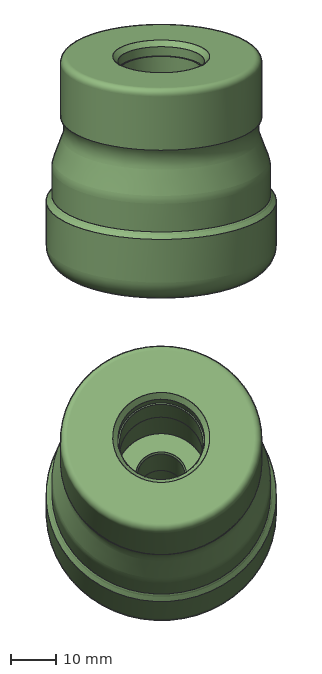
import cadquery as cq
import math

base_radius = 25.4
base_height = 16.54
foot_round = 5.08
base_chamfer = 0.8
base_chamfer_start = 15.24
rim_bow = 0.03

total_height = 49.03
body_radius = 24.13
body_straight_top = 23.07
cone_angle = math.radians(20)
shoulder_round = 5.08
cone_top = 30.25
neck_round = 5.7
head_radius = 22.225
head_round = 1.5

mouth_chamfer = 1.15
counterbore_radius = 9.55
counterbore_depth = 3.3
bore_radius = 9.2
bore_depth = 10.85
flare_depth = 1.2
cavity_radius = 10.0
floor_thickness = 10.0
hole_radius = 5.28
hole_chamfer = 0.35


def revolve_about_z(profile):
    """Turn a closed (radius, height) profile into a solid around Z."""
    return profile.close().revolve(360, (0, 0, 0), (0, 1, 0))


def point_on_circle(center, radius, angle):
    return (center[0] + radius * math.cos(angle), center[1] + radius * math.sin(angle))


def make_base():
    chamfer_top = (base_radius - base_chamfer, base_chamfer_start + base_chamfer)
    rim_top = (body_radius, base_height)
    rim_middle = (
        (chamfer_top[0] + rim_top[0]) / 2 + rim_bow,
        (chamfer_top[1] + rim_top[1]) / 2 + rim_bow,
    )
    foot_center = (base_radius - foot_round, foot_round)
    profile = (
        cq.Workplane("XZ")
        .moveTo(hole_radius, 0)
        .lineTo(base_radius - foot_round, 0)
        .threePointArc(
            point_on_circle(foot_center, foot_round, -math.pi / 4),
            (base_radius, foot_round),
        )
        .lineTo(base_radius, base_chamfer_start)
        .lineTo(*chamfer_top)
        .threePointArc(rim_middle, rim_top)
        .lineTo(hole_radius, base_height)
    )
    return revolve_about_z(profile)


def make_body():
    shoulder_center = (body_radius - shoulder_round, body_straight_top)
    shoulder_middle = point_on_circle(shoulder_center, shoulder_round, cone_angle / 2)
    cone_start = point_on_circle(shoulder_center, shoulder_round, cone_angle)

    cone_end = (cone_start[0] - (cone_top - cone_start[1]) * math.tan(cone_angle), cone_top)
    neck_center = point_on_circle(cone_end, neck_round, cone_angle)
    neck_middle = (neck_center[0] - neck_round, neck_center[1])
    neck_rise = math.sqrt(neck_round**2 - (neck_center[0] - head_radius) ** 2)
    neck_end = (head_radius, neck_center[1] + neck_rise)

    head_center = (head_radius - head_round, total_height - head_round)
    counterbore_floor = total_height - counterbore_depth
    bore_end = total_height - bore_depth
    cavity_floor = base_height + floor_thickness

    profile = (
        cq.Workplane("XZ")
        .moveTo(hole_radius, base_height)
        .lineTo(body_radius, base_height)
        .lineTo(body_radius, body_straight_top)
        .threePointArc(shoulder_middle, cone_start)
        .lineTo(*cone_end)
        .threePointArc(neck_middle, neck_end)
        .lineTo(head_radius, total_height - head_round)
        .threePointArc(
            point_on_circle(head_center, head_round, math.pi / 4),
            (head_radius - head_round, total_height),
        )
        .lineTo(counterbore_radius + mouth_chamfer, total_height)
        .lineTo(counterbore_radius, total_height - mouth_chamfer)
        .lineTo(counterbore_radius, counterbore_floor)
        .lineTo(bore_radius, counterbore_floor)
        .lineTo(bore_radius, bore_end)
        .lineTo(cavity_radius, bore_end - flare_depth)
        .lineTo(cavity_radius, cavity_floor)
        .lineTo(hole_radius + hole_chamfer, cavity_floor)
        .lineTo(hole_radius, cavity_floor - hole_chamfer)
    )
    return revolve_about_z(profile)


base = make_base()
body = make_body()

result = cq.Compound.makeCompound([base.val(), body.val()])